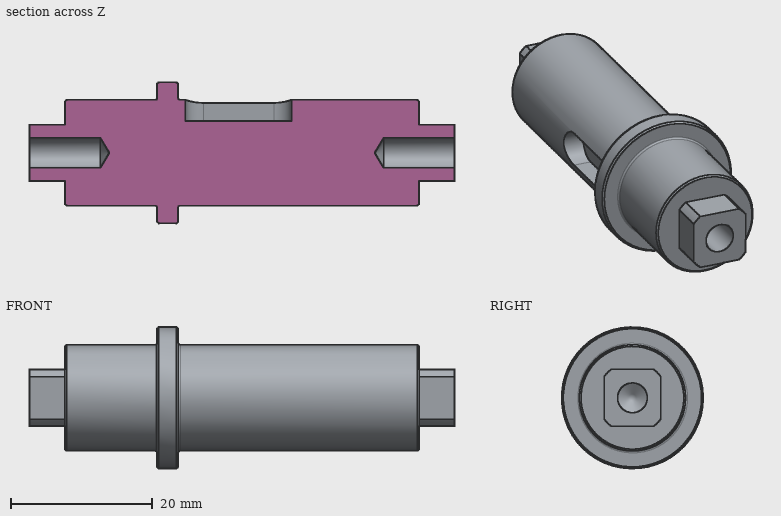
import cadquery as cq
import math

total_length = 60.0
square_end_length = 5.0
body_diameter = 15.0
body_edge_chamfer = 0.25

collar_start = 18.0
collar_width = 3.0
collar_diameter = 20.0
collar_edge_chamfer = 0.25
collar_root_fillet = 0.25

square_width = 8.0
square_corner_diameter = 10.0

hole_diameter = 4.2
hole_depth = 10.0
drill_point_angle = 118.0

keyway_gap_to_collar = 1.0
keyway_length = 15.0
keyway_width = 5.0
keyway_depth = 3.0

collar_end = collar_start + collar_width
body_length = total_length - 2 * square_end_length
body_radius = body_diameter / 2


def cylinder_along_x(start, length, diameter):
    return cq.Workplane("YZ", origin=(start, 0, 0)).circle(diameter / 2).extrude(length)


def make_square_bar():
    """Full-length square core whose two ends stick out of the body."""
    square = cq.Workplane("YZ").rect(square_width, square_width).extrude(total_length)
    return square.intersect(cylinder_along_x(0, total_length, square_corner_diameter))


def make_body():
    body = cylinder_along_x(square_end_length, body_length, body_diameter)
    return body.faces("<X or >X").chamfer(body_edge_chamfer)


def make_collar():
    collar = cylinder_along_x(collar_start, collar_width, collar_diameter)
    return collar.faces("<X or >X").chamfer(collar_edge_chamfer)


def make_collar_root(face_x, outward):
    """Concave ring easing the body into a collar face; outward is -1 or +1 along X."""
    root = collar_root_fillet
    fillet_end_x = face_x + outward * root
    arc_inset = root * (1 - math.sqrt(0.5))
    arc_middle = (face_x + outward * arc_inset, body_radius + arc_inset)
    return (
        cq.Workplane("XY")
        .moveTo(face_x, 0)
        .lineTo(face_x, body_radius + root)
        .threePointArc(arc_middle, (fillet_end_x, body_radius))
        .lineTo(fillet_end_x, 0)
        .close()
        .revolve(360, (0, 0, 0), (1, 0, 0))
    )


def make_keyway():
    center_x = collar_end + keyway_gap_to_collar + keyway_length / 2
    floor_y = body_radius - keyway_depth
    return (
        cq.Workplane("XZ", origin=(center_x, floor_y, 0))
        .slot2D(keyway_length, keyway_width)
        .extrude(-body_radius)
    )


def make_screw_hole():
    """Blind hole from the -X end with a conical drill point."""
    hole_radius = hole_diameter / 2
    point_length = hole_radius / math.tan(math.radians(drill_point_angle / 2))
    return (
        cq.Workplane("XY")
        .polyline([(0, 0), (0, hole_radius), (hole_depth, hole_radius), (hole_depth + point_length, 0)])
        .close()
        .revolve(360, (0, 0, 0), (1, 0, 0))
    )


shaft = make_body().union(make_square_bar()).union(make_collar())
shaft = shaft.union(make_collar_root(collar_start, -1))
shaft = shaft.union(make_collar_root(collar_end, 1))
shaft = shaft.cut(make_keyway())

near_hole = make_screw_hole()
far_hole = near_hole.mirror("YZ").translate((total_length, 0, 0))
result = shaft.cut(near_hole).cut(far_hole)